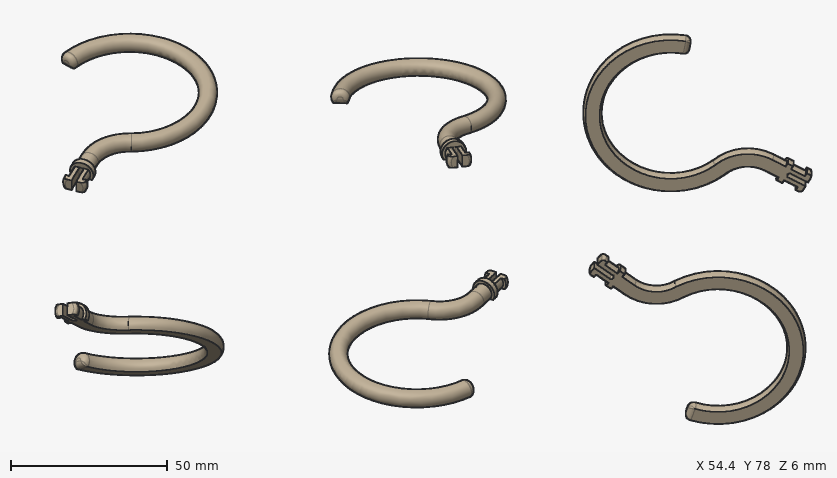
import cadquery as cq
import math

length = 78.0
height = 6.0
rod_diameter = 6.0
collar_diameter = 8.0

rod_radius = rod_diameter / 2
collar_radius = collar_diameter / 2
flat_depth = height - collar_radius
prong_top = flat_depth

head_length = 2.0
collar_start = 7.0
collar_thickness = 2.0
collar_end = collar_start + collar_thickness
stem_end = 14.0

hook_diameter = 50.0
hook_radius = hook_diameter / 2
hook_center_y = length - hook_radius - rod_radius
hook_start_angle = math.radians(-68)
hook_end_angle = math.radians(160)
tip_length = 2.0
tip_rounding = 1.95

slot_width = 1.55
slot_corner_radius = 0.5
head_rounding = 1.0

neck_end_x = hook_radius * math.cos(hook_start_angle)
neck_rise = hook_center_y + hook_radius * math.sin(hook_start_angle) - stem_end
neck_radius = (neck_end_x**2 + neck_rise**2) / (2 * neck_end_x)
neck_angle = math.atan2(neck_rise, neck_radius - neck_end_x)


def neck_point(angle):
    """Point on the neck arc, turned by angle from the stem end."""
    return (
        neck_radius * (1 - math.cos(angle)),
        stem_end + neck_radius * math.sin(angle),
    )


def hook_point(angle):
    """Point on the hook arc, angle measured from +X."""
    return (
        hook_radius * math.cos(angle),
        hook_center_y + hook_radius * math.sin(angle),
    )


def cylinder_y(radius, start, end):
    """Cylinder around the stem axis between two Y stations."""
    return cq.Workplane("XZ", origin=(0, start, 0)).circle(radius).extrude(start - end)


def trim_z(body, bottom, top):
    """Keep only the part of a body between two heights."""
    slab = cq.Workplane("XY", origin=(0, 0, bottom)).rect(4 * length, 4 * length).extrude(top - bottom)
    return body.intersect(slab)


def make_rod():
    """Flat-bottomed round bar along the stem, neck, hook and rounded tip."""
    middle_angle = (hook_start_angle + hook_end_angle) / 2
    tip_x, tip_y = hook_point(hook_end_angle)
    path = (
        cq.Workplane("XY")
        .moveTo(0, collar_start)
        .lineTo(0, stem_end)
        .threePointArc(neck_point(neck_angle / 2), hook_point(hook_start_angle))
        .threePointArc(hook_point(middle_angle), hook_point(hook_end_angle))
        .lineTo(
            tip_x - tip_length * math.sin(hook_end_angle),
            tip_y + tip_length * math.cos(hook_end_angle),
        )
    )
    half_flat = math.sqrt(rod_radius**2 - flat_depth**2)
    rod = (
        cq.Workplane("XZ", origin=(0, collar_start, 0))
        .moveTo(-half_flat, -flat_depth)
        .threePointArc((0, rod_radius), (half_flat, -flat_depth))
        .close()
        .sweep(path, transition="right")
    )
    tip_end = path.val().endPoint().toTuple()
    tip_face = rod.faces(cq.selectors.NearestToPointSelector(tip_end))
    return tip_face.edges().fillet(tip_rounding)


def make_collar():
    """Disc with a flat underside, between the stem and the prongs."""
    return trim_z(cylinder_y(collar_radius, collar_start, collar_end), -flat_depth, collar_radius)


def make_prongs():
    """Split pin with a rounded snap head, flat above and below."""
    shank = cylinder_y(rod_radius, head_length, collar_end)
    head = cylinder_y(collar_radius, 0, head_length).faces("<Y").edges().fillet(head_rounding)
    pin = head.union(shank)
    slot = (
        cq.Workplane("XY")
        .center(0, collar_start / 2)
        .box(slot_width, collar_start, height)
        .edges("|Z and >Y")
        .fillet(slot_corner_radius)
    )
    return trim_z(pin, -flat_depth, prong_top).cut(slot)


result = make_rod().union(make_collar()).union(make_prongs())